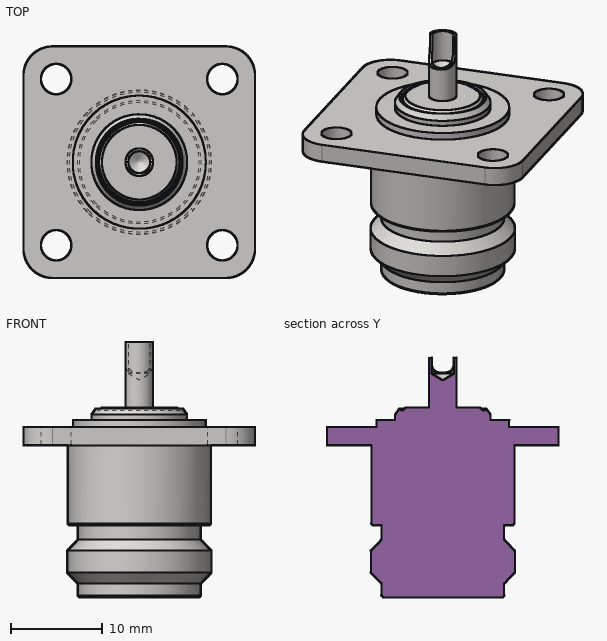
import cadquery as cq
import math

total_height = 28.0
lower_cone_start = 1.5
band_bottom = 2.72
band_top = 5.12
neck_bottom = 6.33
body_bottom = 7.9
flange_bottom = 16.65
flange_top = 18.68
step_top = 19.45
collar_taper_start = 20.05
collar_top = 20.72
disc_top = 20.83

neck_radius = 13.5 / 2
band_radius = 15.85 / 2
body_radius = 15.75 / 2
step_radius = 14.6 / 2
collar_radius = 10.5 / 2
edge_chamfer = 0.2

lip_radius = 4.75
groove_outer_radius = 4.55
groove_inner_radius = 4.4
disc_radius = 4.1
groove_depth = 0.22
groove_floor = collar_top - groove_depth

flange_width = 25.4
flange_corner_radius = 3.22
hole_spacing = 18.2
hole_diameter = 3.3

pin_diameter = 3.02
cup_diameter = 2.4
notch_depth = 3.47
notch_radius = 1.8
cup_depth = notch_depth
cup_tip_angle = 118.0


def make_turned_shell():
    """Revolve the threaded-side barrel, step, collar and central disc about Z."""
    profile = [
        (0, 0),
        (neck_radius - edge_chamfer, 0),
        (neck_radius, edge_chamfer),
        (neck_radius, lower_cone_start),
        (band_radius, band_bottom),
        (band_radius, band_top),
        (neck_radius, neck_bottom),
        (neck_radius, body_bottom),
        (body_radius - edge_chamfer, body_bottom),
        (body_radius, body_bottom + edge_chamfer),
        (body_radius, flange_top),
        (step_radius, flange_top),
        (step_radius, step_top),
        (collar_radius, step_top),
        (collar_radius, collar_taper_start),
        (lip_radius, collar_top),
        (groove_outer_radius, groove_floor),
        (groove_inner_radius, groove_floor),
        (disc_radius, disc_top),
        (0, disc_top),
    ]
    return cq.Workplane("XZ").polyline(profile).close().revolve(360, (0, 0), (0, 1))


def make_flange():
    """Square plate with rounded corners and four mounting holes."""
    plate = (
        cq.Workplane("XY", origin=(0, 0, flange_bottom))
        .rect(flange_width, flange_width)
        .extrude(flange_top - flange_bottom)
        .edges("|Z")
        .fillet(flange_corner_radius)
    )
    holes = (
        cq.Workplane("XY", origin=(0, 0, flange_bottom))
        .rect(hole_spacing, hole_spacing, forConstruction=True)
        .vertices()
        .circle(hole_diameter / 2)
        .extrude(flange_top - flange_bottom)
    )
    return plate.cut(holes)


def make_cup():
    """Drilled blind bore with a conical floor, used as a cutter."""
    radius = cup_diameter / 2
    floor = total_height - cup_depth
    tip_height = radius / math.tan(math.radians(cup_tip_angle / 2))
    profile = [(0, total_height), (radius, total_height), (radius, floor), (0, floor - tip_height)]
    return cq.Workplane("XZ").polyline(profile).close().revolve(360, (0, 0), (0, 1))


def make_notch():
    """Cutter that opens the +Y half of the cup, with a rounded lower corner."""
    floor = total_height - notch_depth
    return (
        cq.Workplane("YZ")
        .moveTo(0, total_height)
        .lineTo(0, floor + notch_radius)
        .radiusArc((notch_radius, floor), -notch_radius)
        .lineTo(notch_radius, total_height)
        .close()
        .extrude(pin_diameter / 2, both=True)
    )


def make_pin():
    """Upright pin with a half-open solder cup at its top."""
    pin = (
        cq.Workplane("XY", origin=(0, 0, disc_top))
        .circle(pin_diameter / 2)
        .extrude(total_height - disc_top)
    )
    return pin.cut(make_cup()).cut(make_notch())


result = make_turned_shell().union(make_flange()).union(make_pin())